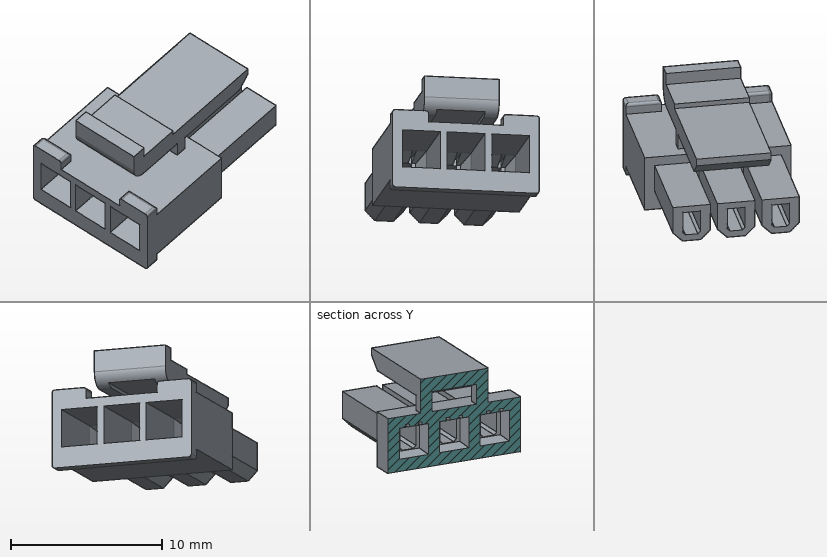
import cadquery as cq

width = 9.85
length = 14.0
body_length = 7.62
body_bottom = 0.7
body_top = 4.55
flange_thickness = 1.0
flange_top = 5.29
edge_radius = 0.2

contact_count = 3
pitch = 3.0
tube_size = 2.53
tube_bottom = 1.39
tube_chamfer = 0.66
tube_top = tube_bottom + tube_size

entry_depth = 5.18
funnel_length = 1.75
cavity_depth = entry_depth + funnel_length
funnel_inset = 0.4
passage_width = 1.19
passage_bottom = 1.83
passage_top = 3.49
passage_chamfer = 0.18
finger_width = 0.7

latch_width = 5.03
leg_width = 0.9
leg_front = 5.94
leg_rear = 6.72
lever_front = 1.5
lever_rear = 13.19
lever_top = 6.93
lever_bottom = 5.6
lever_front_bottom = 5.65
grip_rear = 2.53
grip_top = 8.08
grip_radius = 1.0
pad_rear = 5.5
pad_top = 7.27
hook_run = 0.87
hook_rise = 0.84
relief_top = 5.91


def block(x_size, y_front, y_rear, z_bottom, z_top, x_center=0):
    """Box centred on x_center, spanning the given Y and Z ranges."""
    return (
        cq.Workplane("XY")
        .box(x_size, y_rear - y_front, z_top - z_bottom, centered=(True, False, False))
        .translate((x_center, y_front, z_bottom))
    )


def make_flange():
    """Front flange: plate with rounded lower edges and two rounded upper tabs."""
    plate = block(width, 0, flange_thickness, 0, body_top)
    plate = plate.edges("(|Y and <Z) or (|X and >Y and <Z)").fillet(edge_radius)

    tab_width = (width - latch_width) / 2
    tab_center = (width - tab_width) / 2
    left_tab = block(tab_width, 0, flange_thickness, body_top, flange_top, -tab_center)
    right_tab = block(tab_width, 0, flange_thickness, body_top, flange_top, tab_center)
    upper_edges = "(|Y and >Z) or (|X and >Y and >Z)"
    outer_rear_edge = "(|Z and >Y and <X)"
    left_tab = left_tab.edges(f"{upper_edges} or {outer_rear_edge}").fillet(edge_radius)
    right_tab = right_tab.edges(upper_edges).fillet(edge_radius)
    return plate.union(left_tab).union(right_tab)


def make_tube(x_center):
    """Rear chamber tube with both lower long edges chamfered."""
    tube = block(tube_size, 0, length, tube_bottom, tube_top, x_center)
    return tube.edges("|Y and <Z").chamfer(tube_chamfer)


def make_cavity(x_center):
    """Square entry, tapered funnel, through passage and the slots beside the ceiling finger."""
    inner_size = tube_size - 2 * funnel_inset
    entry = block(tube_size, 0, entry_depth, tube_bottom, tube_top, x_center)
    funnel = (
        cq.Workplane("XZ", origin=(x_center, entry_depth, tube_bottom + tube_size / 2))
        .rect(tube_size, tube_size)
        .workplane(offset=-funnel_length)
        .rect(inner_size, inner_size)
        .loft(combine=True)
    )
    passage = block(passage_width, entry_depth, length, passage_bottom, passage_top, x_center)
    passage = passage.edges("|Y and <Z").chamfer(passage_chamfer)
    slots = block(passage_width, entry_depth, cavity_depth, passage_top, tube_top, x_center)
    finger = block(finger_width, entry_depth, cavity_depth, passage_top, tube_top, x_center)
    return entry.union(funnel).union(passage).union(slots.cut(finger))


def make_latch():
    """Lever with hook at the rear, finger grip at the front, carried on two legs."""
    lever = (
        cq.Workplane("YZ")
        .moveTo(lever_front, grip_top)
        .lineTo(grip_rear, grip_top)
        .lineTo(grip_rear, pad_top)
        .lineTo(pad_rear, pad_top)
        .lineTo(pad_rear, lever_top)
        .lineTo(lever_rear, lever_top)
        .lineTo(lever_rear, lever_bottom + hook_rise)
        .lineTo(lever_rear - hook_run, lever_bottom)
        .lineTo(leg_front, lever_bottom)
        .lineTo(leg_front, lever_front_bottom)
        .lineTo(lever_front + grip_radius, lever_front_bottom)
        .radiusArc((lever_front, lever_front_bottom + grip_radius), grip_radius)
        .close()
        .extrude(latch_width / 2, both=True)
    )
    legs = block(latch_width, leg_front, leg_rear, body_top, lever_front_bottom)
    gap = block(latch_width - 2 * leg_width, 0, leg_rear, body_top, relief_top)
    return lever.union(legs).cut(gap)


result = block(width, 0, body_length, body_bottom, body_top).union(make_flange())
contact_positions = [(i - (contact_count - 1) / 2) * pitch for i in range(contact_count)]
for x_position in contact_positions:
    result = result.union(make_tube(x_position))
for x_position in contact_positions:
    result = result.cut(make_cavity(x_position))
result = result.union(make_latch())